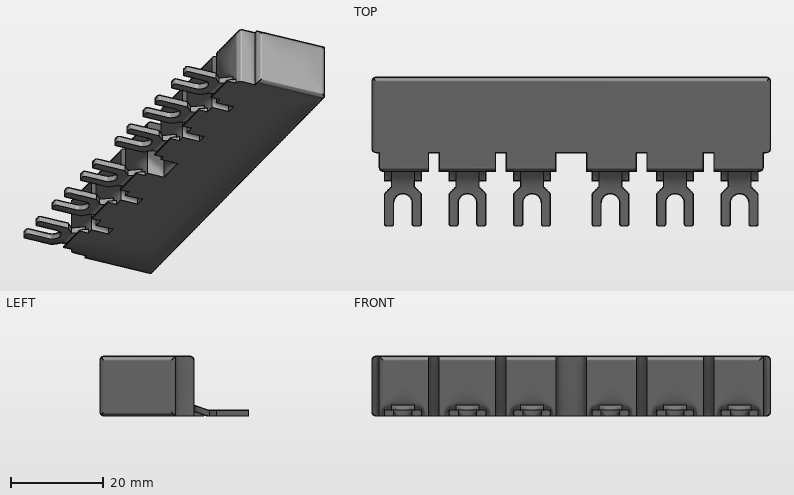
import cadquery as cq
import math


housing_length = 86.5
housing_height = 13.0
housing_depth = 20.45
tooth_depth = 4.05
edge_radius = 1.0

end_step = 1.6
outer_tooth_width = 10.7
middle_tooth_width = 12.25
narrow_gap = 2.3
wide_gap = 6.7

terminal_pitch = 14.0
inner_terminal_x = 8.5
terminal_xs = [
    side * (inner_terminal_x + index * terminal_pitch)
    for side in (-1, 1)
    for index in range(3)
]

terminal_reach = 11.85
plate_thickness = 1.3
neck_width = 5.0
bend_angle = 19.0
bend_distance = 3.05
bend_inner_radius = 0.8
shoulder_start = 3.35
fork_width = 8.0
slot_width = 4.0
slot_length = 7.0
tip_radius = 0.5

bend_slope = math.tan(math.radians(bend_angle))
underside_bend_distance = bend_distance - plate_thickness * math.tan(math.radians(bend_angle / 2))
top_height_at_face = plate_thickness + bend_distance * bend_slope
underside_height_at_face = underside_bend_distance * bend_slope

ramp_width = fork_width
ramp_length = 2.05
ramp_end_height = underside_height_at_face - ramp_length * bend_slope


def block(x_min, x_max, y_min, y_max, height):
    """Upright block standing on the bottom plane."""
    return cq.Workplane("XY").box(
        x_max - x_min, y_max - y_min, height, centered=False
    ).translate((x_min, y_min, 0))


def side_profile(points, width):
    """Prism of the given width, centred on X = 0, from (y, z) points."""
    return cq.Workplane("YZ").polyline(points).close().extrude(width / 2, both=True)


def make_main_block():
    """Rear block whose rounded end and back edges meet in mitred corners."""
    half_length = housing_length / 2
    blank = block(-half_length, half_length, tooth_depth, housing_depth, housing_height)
    rounded_along_x = blank.edges("|X and >Y").fillet(edge_radius)
    rounded_along_y = blank.edges("|Y").fillet(edge_radius)
    rounded_along_z = blank.edges("|Z").fillet(edge_radius)
    return rounded_along_x.intersect(rounded_along_y).intersect(rounded_along_z)


def make_toothed_front():
    """Full-width front strip with rounded edges, cut by the gaps into six teeth."""
    half_length = housing_length / 2 - end_step
    root_y = tooth_depth + edge_radius
    front = block(-half_length, half_length, 0, root_y, housing_height)
    front = front.edges("(<Y and |Z) or (<Y and >Z)").fillet(edge_radius)

    outer_gap_end = half_length - outer_tooth_width
    inner_gap_end = outer_gap_end - narrow_gap - middle_tooth_width
    front = front.cut(block(-wide_gap / 2, wide_gap / 2, 0, root_y, housing_height))
    for gap_end in (outer_gap_end, inner_gap_end):
        gap_start = gap_end - narrow_gap
        front = front.cut(block(gap_start, gap_end, 0, root_y, housing_height))
        front = front.cut(block(-gap_end, -gap_start, 0, root_y, housing_height))
    return front


def make_ramp():
    """Sloping support in front of a tooth, under the neck of a terminal."""
    return side_profile(
        [(0, 0), (0, underside_height_at_face), (-ramp_length, ramp_end_height), (-ramp_length, 0)],
        ramp_width,
    )


def make_housing():
    housing = make_main_block().union(make_toothed_front())
    for x in terminal_xs:
        housing = housing.union(make_ramp().translate((x, 0, 0)))
    return housing


def make_terminal():
    """Bent neck that widens into a flat two-pronged fork."""
    bent_plate = side_profile(
        [
            (0, underside_height_at_face),
            (0, top_height_at_face),
            (-bend_distance, plate_thickness),
            (-terminal_reach, plate_thickness),
            (-terminal_reach, 0),
            (-underside_bend_distance, 0),
        ],
        fork_width,
    )
    top_bend = cq.selectors.NearestToPointSelector((0, -bend_distance, plate_thickness))
    underside_bend = cq.selectors.NearestToPointSelector((0, -underside_bend_distance, 0))
    bent_plate = bent_plate.edges("|X").edges(top_bend).fillet(bend_inner_radius)
    bent_plate = bent_plate.edges("|X").edges(underside_bend).fillet(bend_inner_radius + plate_thickness)

    half_neck = neck_width / 2
    half_fork = fork_width / 2
    half_slot = slot_width / 2
    shoulder_end = shoulder_start + half_fork - half_neck
    slot_top = terminal_reach - slot_length
    slot_arc_centre = slot_top + half_slot
    outline = (
        cq.Workplane("XY")
        .moveTo(-half_neck, 0)
        .lineTo(-half_neck, -shoulder_start)
        .lineTo(-half_fork, -shoulder_end)
        .lineTo(-half_fork, -terminal_reach)
        .lineTo(-half_slot, -terminal_reach)
        .lineTo(-half_slot, -slot_arc_centre)
        .threePointArc((0, -slot_top), (half_slot, -slot_arc_centre))
        .lineTo(half_slot, -terminal_reach)
        .lineTo(half_fork, -terminal_reach)
        .lineTo(half_fork, -shoulder_end)
        .lineTo(half_neck, -shoulder_start)
        .lineTo(half_neck, 0)
        .close()
        .extrude(top_height_at_face)
    )
    outline = outline.faces("<Y").edges("|Z").fillet(tip_radius)
    return bent_plate.intersect(outline)


housing = make_housing()
terminals = [make_terminal().translate((x, 0, 0)) for x in terminal_xs]
result = cq.Compound.makeCompound([housing.val(), *[terminal.val() for terminal in terminals]])